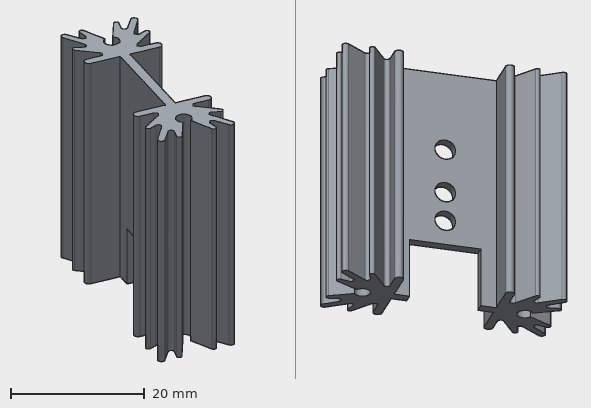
import math

import cadquery as cq

WIDTH = 34.92
DEPTH = 12.7
HEIGHT = 38.1

WEB_THICKNESS = 1.6
WEB_SPAN = 15.88

FIN_THICKNESS = 1.38

CORNER_TIP_RADIUS = 0.55
SLIM_TIP_RADIUS = 0.42
VALLEY_RADIUS = 0.48
FIN_VALLEY_RADIUS = 0.5

FIN_VALLEY_Y = 3.4
STEEP_TIP_X = 12.83
UPPER_VALLEY_X = 13.2
UPPER_VALLEY_Y = 4.46
CORNER_TIP_Y = 5.73
LOWER_VALLEY_X = 15.47
LOWER_VALLEY_Y = 3.42
SHALLOW_TIP_Y = 2.83

CHANNEL_RADIUS = 1.22
CHANNEL_X = 12.64
CHANNEL_LIP_Y = 0.65

HOLE_DIAMETER = 3.18
HOLE_HEIGHTS = (13.46, 18.26, 25.4)
NOTCH_WIDTH = 11.1
NOTCH_HEIGHT = 9.5

HALF_WIDTH = WIDTH / 2
HALF_DEPTH = DEPTH / 2
HALF_WEB = WEB_THICKNESS / 2
FIN_INNER_X = WEB_SPAN / 2
FIN_RADIUS = FIN_THICKNESS / 2
FIN_OUTER_X = FIN_INNER_X + FIN_THICKNESS
CHANNEL_LIP_X = CHANNEL_X + math.sqrt(CHANNEL_RADIUS**2 - CHANNEL_LIP_Y**2)

FIN_TIP = (FIN_INNER_X + FIN_RADIUS, HALF_DEPTH - FIN_RADIUS, FIN_RADIUS, True)
FIN_VALLEY = (FIN_OUTER_X + FIN_VALLEY_RADIUS, FIN_VALLEY_Y, FIN_VALLEY_RADIUS, False)
STEEP_TIP = (STEEP_TIP_X, HALF_DEPTH - SLIM_TIP_RADIUS, SLIM_TIP_RADIUS, True)
UPPER_VALLEY = (UPPER_VALLEY_X, UPPER_VALLEY_Y, VALLEY_RADIUS, False)
CORNER_TIP = (HALF_WIDTH - CORNER_TIP_RADIUS, CORNER_TIP_Y, CORNER_TIP_RADIUS, True)
LOWER_VALLEY = (LOWER_VALLEY_X, LOWER_VALLEY_Y, VALLEY_RADIUS, False)
SHALLOW_TIP = (HALF_WIDTH - SLIM_TIP_RADIUS, SHALLOW_TIP_Y, SLIM_TIP_RADIUS, True)
ROUNDS = (FIN_TIP, FIN_VALLEY, STEEP_TIP, UPPER_VALLEY, CORNER_TIP, LOWER_VALLEY, SHALLOW_TIP)


def line(start, end):
    """Straight edge in the XY plane."""
    return cq.Edge.makeLine(cq.Vector(*start), cq.Vector(*end))


def arc(start, middle, end):
    """Circular edge in the XY plane."""
    return cq.Edge.makeThreePointArc(cq.Vector(*start), cq.Vector(*middle), cq.Vector(*end))


def point_on(round_, angle):
    """Point of a round at the given angle."""
    x, y, radius, _ = round_
    return (x + radius * math.cos(angle), y + radius * math.sin(angle))


def signed_radius(round_):
    """Radius of a round, positive for a tip and negative for a valley."""
    return round_[2] if round_[3] else -round_[2]


def tangent_points(start, end):
    """Ends of the straight flank that touches two rounds, with material on its right."""
    dx = end[0] - start[0]
    dy = end[1] - start[1]
    offset = signed_radius(start) - signed_radius(end)
    normal = math.atan2(dy, dx) + math.acos(offset / math.hypot(dx, dy))
    points = []
    for round_ in (start, end):
        outward = normal if round_[3] else normal + math.pi
        points.append(point_on(round_, outward))
    return points


def arc_middle(round_, entry, leave):
    """Point halfway along the arc of a round: left of its chord on a tip, right of it in a valley."""
    chord = math.atan2(leave[1] - entry[1], leave[0] - entry[0])
    quarter_turn = math.pi / 2
    return point_on(round_, chord + quarter_turn if round_[3] else chord - quarter_turn)


def finned_edge():
    """Edges of a head above the X axis, from the root of the straight fin to the channel lip."""
    lip = (CHANNEL_LIP_X, CHANNEL_LIP_Y, 0, True)
    stops = ROUNDS + (lip,)
    flanks = [tangent_points(start, end) for start, end in zip(stops, stops[1:])]
    fin_wall = ((FIN_INNER_X, HALF_WEB), (FIN_INNER_X, FIN_TIP[1]))
    flanks.insert(0, fin_wall)

    edges = [line(start, end) for start, end in flanks]
    for round_, before, after in zip(ROUNDS, flanks, flanks[1:]):
        entry = before[1]
        leave = after[0]
        edges.append(arc(entry, arc_middle(round_, entry, leave), leave))
    return edges


def section_wire():
    """Closed outline of the whole section, symmetric about the X and Y axes."""
    upper = finned_edge()
    lower = [edge.mirror("XZ") for edge in upper]
    channel_back = (CHANNEL_X - CHANNEL_RADIUS, 0)
    channel = arc((CHANNEL_LIP_X, CHANNEL_LIP_Y), channel_back, (CHANNEL_LIP_X, -CHANNEL_LIP_Y))
    right_side = upper + lower + [channel]
    left_side = [edge.mirror("YZ") for edge in right_side]
    web_faces = [line((-FIN_INNER_X, y), (FIN_INNER_X, y)) for y in (HALF_WEB, -HALF_WEB)]
    return cq.Wire.combine(right_side + left_side + web_faces)[0]


def extrusion():
    """Section carried along the full height."""
    return cq.Workplane("XY").add(section_wire()).toPending().extrude(HEIGHT)


def web_cuts():
    """Row of round holes and the bottom notch, through the web."""
    notch = cq.Workplane("XY").box(NOTCH_WIDTH, WEB_THICKNESS, NOTCH_HEIGHT, centered=(True, True, False))
    holes = (
        cq.Workplane("XZ", origin=(0, HALF_WEB, 0))
        .pushPoints([(0, height) for height in HOLE_HEIGHTS])
        .circle(HOLE_DIAMETER / 2)
        .extrude(WEB_THICKNESS)
    )
    return notch.union(holes)


result = extrusion().cut(web_cuts())